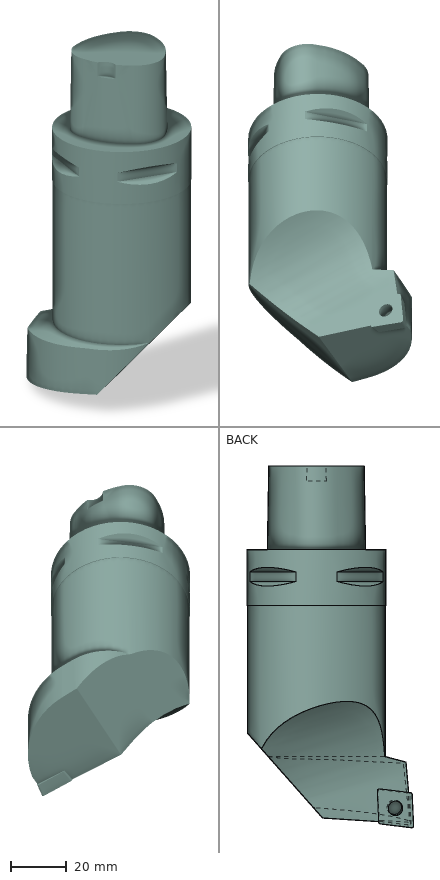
import cadquery as cq
import math

TOTAL_HEIGHT = 130.0
SHANK_LENGTH = 30.0
FLANGE_LENGTH = 20.0
FLANGE_TOP = TOTAL_HEIGHT - SHANK_LENGTH
FLANGE_BOTTOM = FLANGE_TOP - FLANGE_LENGTH
BODY_BOTTOM = 25.6

FLANGE_DIAMETER = 50.0
BODY_DIAMETER = 49.7

LOBE_COUNT = 3
LOBE_RADIUS = 18.2
FLAT_RADIUS = 15.7
SEAM_RADIUS = 16.9
SEAM_ANGLE = 25.6
SHANK_TAPER = 0.5
KEYWAY_RADIUS = 4.5
KEYWAY_DEPTH = 5.5
KEYWAY_BOTTOM_Y = -13.9

NOTCH_COUNT = 4
NOTCH_Z = 90.2
NOTCH_LENGTH = 23.4
NOTCH_FLOOR_WIDTH = 3.4
NOTCH_FLANK_ANGLE = 30.0

LUG_FRONT_Y = -28.5
LUG_LEFT_RADIUS = 29.4
LUG_RIGHT_RADIUS = 19.2
LUG_FLAT_LEFT_X = -5.5
LUG_FLAT_RIGHT_X = 0.0
LUG_BACK_Y = 18.2
LUG_TOP_SLOPE_ANGLE = 15.0
LUG_SIDE_POINTS = [(-31.2, -13.4, 23.1), (-33.5, -7.9, 2.2), (-32.2, 2.5, 23.0)]
LUG_BOTTOM_POINT = (0, 0, 4.0)
LUG_BOTTOM_SLOPE_X = 0.075
LUG_BOTTOM_SLOPE_Y = -0.11

RELIEF_TOP_Z = 34.0
RELIEF_ANGLE = 48.5

FLUTE_RADIUS = 42.1
FLUTE_CENTER = cq.Vector(0, 46.2, 5.3)
FLUTE_AXIS = cq.Vector(3.5, 0.21, -1.0)
RAKE_SLOPE_Z = -0.086

INSERT_EDGE = 12.7
INSERT_CORNER_ANGLE = 80.0
INSERT_TURN = 23.0
INSERT_THICKNESS = 4.7
INSERT_CLEARANCE = 7.0
INSERT_NOSE_RADIUS = 0.8
INSERT_HOLE_DIAMETER = 5.2
INSERT_NOSE_X = -35.0
INSERT_NOSE_Z = -0.1

CUT_REACH = 156.0

RAKE_SLOPE_X = -(FLUTE_AXIS.y + FLUTE_AXIS.z * RAKE_SLOPE_Z) / FLUTE_AXIS.x
RAKE_NORMAL = cq.Vector(RAKE_SLOPE_X, 1, RAKE_SLOPE_Z).normalized()
RAKE_POINT = FLUTE_CENTER - RAKE_NORMAL * FLUTE_RADIUS


def cylinder(diameter, bottom, top):
    return cq.Workplane("XY").workplane(offset=bottom).circle(diameter / 2).extrude(top - bottom)


def half_space(point, outward):
    """Block that fills everything on the outward side of a plane."""
    plane = cq.Plane(origin=point, normal=outward)
    return cq.Workplane(plane).rect(2 * CUT_REACH, 2 * CUT_REACH).extrude(CUT_REACH)


def polar(radius, angle):
    turn = math.radians(angle)
    return (radius * math.cos(turn), radius * math.sin(turn))


def trilobe(workplane, growth):
    """Six-arc outline with one lobe toward +Y."""
    pitch = 360 / LOBE_COUNT
    outline = workplane.moveTo(*polar(SEAM_RADIUS + growth, 90 - SEAM_ANGLE))
    for index in range(LOBE_COUNT):
        lobe = 90 + index * pitch
        outline = outline.threePointArc(
            polar(LOBE_RADIUS + growth, lobe), polar(SEAM_RADIUS + growth, lobe + SEAM_ANGLE)
        )
        outline = outline.threePointArc(
            polar(FLAT_RADIUS + growth, lobe + pitch / 2),
            polar(SEAM_RADIUS + growth, lobe + pitch - SEAM_ANGLE),
        )
    return outline.close()


def make_shank():
    base = trilobe(cq.Workplane("XY").workplane(offset=FLANGE_TOP), SHANK_TAPER)
    shank = trilobe(base.workplane(offset=SHANK_LENGTH), 0).loft(ruled=True)
    keyway = cylinder(2 * KEYWAY_RADIUS, TOTAL_HEIGHT - KEYWAY_DEPTH, TOTAL_HEIGHT)
    return shank.cut(keyway.translate((0, KEYWAY_BOTTOM_Y - KEYWAY_RADIUS, 0)))


def make_notch(angle):
    """Straight trapezoidal notch, cut from the rim toward the axis."""
    rim = FLANGE_DIAMETER / 2
    floor = math.sqrt(rim**2 - (NOTCH_LENGTH / 2) ** 2)
    floor_half = NOTCH_FLOOR_WIDTH / 2
    rim_half = floor_half + (rim - floor) * math.tan(math.radians(NOTCH_FLANK_ANGLE))
    section = [(floor, -floor_half), (rim, -rim_half), (rim, rim_half), (floor, floor_half)]
    notch = cq.Workplane("XZ").polyline(section).close().extrude(NOTCH_LENGTH / 2, both=True)
    return notch.translate((0, 0, NOTCH_Z)).rotate((0, 0, 0), (0, 0, 1), angle)


def make_flange():
    flange = cylinder(FLANGE_DIAMETER, FLANGE_BOTTOM, FLANGE_TOP)
    pitch = 360 / NOTCH_COUNT
    for index in range(NOTCH_COUNT):
        flange = flange.cut(make_notch(pitch / 2 + index * pitch))
    return flange


def make_lug():
    left_center_y = LUG_FRONT_Y + LUG_LEFT_RADIUS
    right_center_y = LUG_FRONT_Y + LUG_RIGHT_RADIUS
    left_x = LUG_FLAT_LEFT_X - LUG_LEFT_RADIUS
    right_x = LUG_FLAT_RIGHT_X + LUG_RIGHT_RADIUS
    lug = (
        cq.Workplane("XY")
        .moveTo(left_x, LUG_BACK_Y)
        .lineTo(left_x, left_center_y)
        .tangentArcPoint((LUG_FLAT_LEFT_X, LUG_FRONT_Y), relative=False)
        .lineTo(LUG_FLAT_RIGHT_X, LUG_FRONT_Y)
        .tangentArcPoint((right_x, right_center_y), relative=False)
        .lineTo(right_x, LUG_BACK_Y)
        .close()
        .extrude(BODY_BOTTOM)
    )
    body_radius = BODY_DIAMETER / 2
    cone_spread = BODY_BOTTOM / math.tan(math.radians(LUG_TOP_SLOPE_ANGLE))
    cone = cq.Solid.makeCone(body_radius + cone_spread, body_radius, BODY_BOTTOM)
    lug = lug.intersect(cq.Workplane(cone))
    front_top, bottom, rear_top = [cq.Vector(*point) for point in LUG_SIDE_POINTS]
    lug = lug.cut(half_space(front_top, (rear_top - front_top).cross(bottom - front_top)))
    return lug.cut(half_space(LUG_BOTTOM_POINT, (LUG_BOTTOM_SLOPE_X, LUG_BOTTOM_SLOPE_Y, -1)))


def make_relief():
    slope = math.radians(RELIEF_ANGLE)
    return half_space((BODY_DIAMETER / 2, 0, RELIEF_TOP_Z), (math.sin(slope), 0, -math.cos(slope)))


def make_flute():
    plane = cq.Plane(origin=FLUTE_CENTER, xDir=RAKE_NORMAL, normal=FLUTE_AXIS)
    round_part = cq.Workplane(plane).circle(FLUTE_RADIUS).extrude(CUT_REACH, both=True)
    flat_part = (
        cq.Workplane(plane)
        .moveTo(-FLUTE_RADIUS, 0)
        .lineTo(-FLUTE_RADIUS, -CUT_REACH)
        .lineTo(FLUTE_RADIUS, -CUT_REACH)
        .lineTo(FLUTE_RADIUS, 0)
        .close()
        .extrude(CUT_REACH, both=True)
    )
    return round_part.union(flat_part)


def insert_plane():
    """Plane on the rake face, at the sharp nose, facing into the lug."""
    offset_x = (INSERT_NOSE_X - RAKE_POINT.x) * RAKE_NORMAL.x
    offset_z = (INSERT_NOSE_Z - RAKE_POINT.z) * RAKE_NORMAL.z
    nose_y = RAKE_POINT.y - (offset_x + offset_z) / RAKE_NORMAL.y
    nose = (INSERT_NOSE_X, nose_y, INSERT_NOSE_Z)
    return cq.Plane(origin=nose, xDir=FLUTE_AXIS, normal=RAKE_NORMAL * -1)


def make_insert_blank():
    lower = polar(INSERT_EDGE, INSERT_TURN)
    upper = polar(INSERT_EDGE, INSERT_TURN + INSERT_CORNER_ANGLE)
    far = (lower[0] + upper[0], lower[1] + upper[1])
    blank = cq.Workplane(insert_plane()).polyline([(0, 0), lower, far, upper]).close()
    blank = blank.extrude(INSERT_THICKNESS, taper=INSERT_CLEARANCE)
    square_to_normal = cq.selectors.PerpendicularDirSelector(RAKE_NORMAL)
    return blank.edges(cq.selectors.InverseSelector(square_to_normal)).fillet(INSERT_NOSE_RADIUS)


def make_insert():
    diagonal_angle = INSERT_TURN + INSERT_CORNER_ANGLE / 2
    center = polar(INSERT_EDGE * math.cos(math.radians(INSERT_CORNER_ANGLE / 2)), diagonal_angle)
    hole = cq.Workplane(insert_plane()).center(*center)
    hole = hole.circle(INSERT_HOLE_DIAMETER / 2).extrude(INSERT_THICKNESS)
    return make_insert_blank().cut(hole)


def make_holder():
    body = cylinder(BODY_DIAMETER, BODY_BOTTOM, FLANGE_BOTTOM)
    holder = body.union(make_flange()).union(make_shank()).union(make_lug())
    return holder.cut(make_relief()).cut(make_flute()).cut(make_insert_blank())


holder = make_holder()
insert = make_insert()
result = cq.Compound.makeCompound([holder.solids().val(), insert.solids().val()])